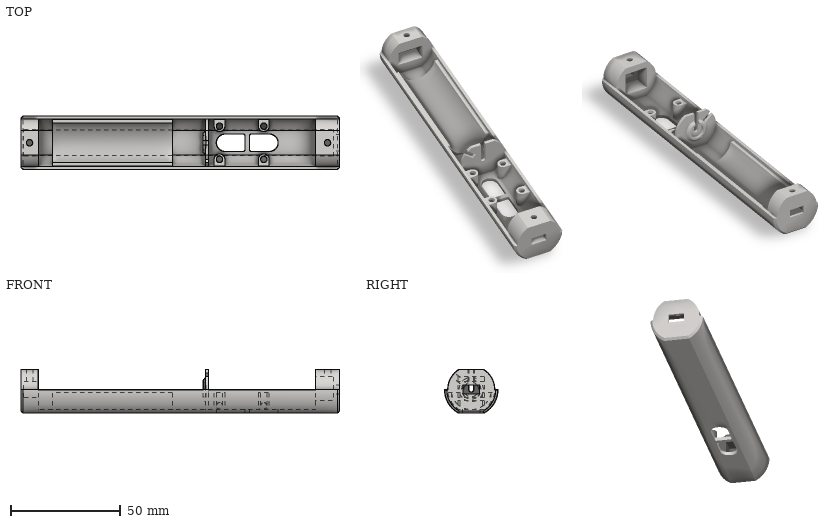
import cadquery as cq

length = 146.1
outer_radius = 12.3
wall = 1.5
inner_radius = outer_radius - wall
outer_flat = 10.8
inner_flat = 9.2
end_chamfer = 1.0

left_cap_length = 8.0
right_cap_length = 11.1
screw_diameter = 2.9
window_width = 7.5
window_height = 4.0
pocket_width = 12.0
left_pocket_height = 7.3
right_pocket_bottom = -5.0
right_pocket_top = 6.0
end_wall_left = 1.2
end_wall_right = 2.9

cradle_start = 14.6
cradle_end = 69.5
cradle_rim_depth = 1.5

partition_thickness = 1.5
partition_center = 85.3
hub_length = 1.0
hub_recess_depth = 1.3
hub_base_radius = 5.5
hub_tip_radius = 4.4
hub_recess_radius = 3.4
wire_slot_width = 2.2
side_slot_angle = 39.0

post_diameter = 5.0
post_hole_diameter = 2.9
post_x = (91.0, 111.4)
post_y = 7.6
post_top = -1.5

opening_width = 7.9
opening_length = 13.0
opening_gap = 2.2
opening_middle = 103.8
opening_corner = 0.7


def x_cylinder(radius, start, end):
    """Cylinder on the tube axis between two X positions."""
    return cq.Workplane("YZ", origin=(start, 0, 0)).circle(radius).extrude(end - start)


def box(x_range, y_range, z_range):
    """Axis-aligned box given by its limits."""
    size = [high - low for low, high in (x_range, y_range, z_range)]
    corner = (x_range[0], y_range[0], z_range[0])
    return cq.Workplane("XY").box(*size, centered=False).translate(corner)


def core(start, end):
    """Piece of the flattened round bar that fits the inside of the tube."""
    slab = box((start, end), (-inner_radius, inner_radius), (-inner_flat, inner_flat))
    return x_cylinder(inner_radius, start, end).intersect(slab)


def trough():
    """Lower half of the tube, chamfered at both ends and hollowed out."""
    keep = box((0, length), (-outer_radius, outer_radius), (-outer_flat, outer_radius))
    body = x_cylinder(outer_radius, 0, length).intersect(keep)
    body = body.faces("<X or >X").chamfer(end_chamfer)
    above = box((0, length), (-outer_radius, outer_radius), (0, outer_radius))
    return body.cut(above).cut(core(0, length))


def screw_hole(x):
    """Vertical hole from a cap top down to the tube axis."""
    plane = cq.Workplane("XY", origin=(x, 0, 0))
    return plane.circle(screw_diameter / 2).extrude(inner_flat)


def window(start, end):
    """Rectangular passage along X through a cap wall."""
    plane = cq.Workplane("YZ", origin=(start, 0, 0))
    return plane.rect(window_width, window_height).extrude(end - start)


def cap(start, end, pocket_x, pocket_z):
    """End cap with an inner pocket, a window in the end wall and a screw hole in the top."""
    pocket = box(pocket_x, (-pocket_width / 2, pocket_width / 2), pocket_z)
    body = core(start, end).cut(pocket)
    return body.cut(window(start, end)).cut(screw_hole((start + end) / 2))


def cradle():
    """Filling below the battery, with a round seat tangent to the floor."""
    fill = core(cradle_start, cradle_end)
    above = box(
        (cradle_start, cradle_end), (-inner_radius, inner_radius), (-cradle_rim_depth, inner_radius)
    )
    return fill.cut(above).cut(x_cylinder(inner_flat, cradle_start, cradle_end))


def partition():
    """Cross wall with a hub facing the battery and two slots for wires."""
    face = partition_center - partition_thickness / 2
    back = face + partition_thickness
    tip = face - hub_length
    slot = box((tip, back), (-wire_slot_width / 2, wire_slot_width / 2), (0, inner_radius))
    side_slot = slot.cut(x_cylinder(hub_base_radius, tip, back))
    side_slot = side_slot.rotate((0, 0, 0), (1, 0, 0), 90 - side_slot_angle)
    hub = (
        cq.Workplane("YZ", origin=(face, 0, 0)).circle(hub_base_radius)
        .workplane(offset=-hub_length).circle(hub_tip_radius).loft()
    )
    plate = core(face, back).union(hub)
    plate = plate.cut(x_cylinder(hub_recess_radius, tip, tip + hub_recess_depth))
    plate = plate.cut(x_cylinder(wire_slot_width / 2, tip, back))
    return plate.cut(slot).cut(side_slot)


def post(x, side):
    """Round post joined to the side wall, its hole ending at the wall."""
    center_y = side * post_y
    radius = post_diameter / 2
    height = post_top + inner_flat
    plane = cq.Workplane("XY", origin=(x, center_y, -inner_flat))
    web = plane.center(0, side * radius).rect(post_diameter, post_diameter).extrude(height)
    solid = plane.circle(radius).extrude(height).union(web)
    solid = solid.cut(plane.circle(post_hole_diameter / 2).extrude(height))
    return solid.intersect(core(x - radius, x + radius))


def floor_opening(side):
    """Opening through the floor with its outer end rounded."""
    radius = opening_width / 2
    near = opening_gap / 2
    straight_end = near + opening_length - radius
    bar = box((near, straight_end), (-radius, radius), (-outer_flat, -inner_flat))
    bar = bar.edges("|Z and <X").fillet(opening_corner)
    plane = cq.Workplane("XY", origin=(straight_end, 0, -outer_flat))
    opening = bar.union(plane.circle(radius).extrude(outer_flat - inner_flat))
    if side < 0:
        opening = opening.mirror("YZ")
    return opening.translate((opening_middle, 0, 0))


left_cap = cap(
    0, left_cap_length, (end_wall_left, left_cap_length), (-left_pocket_height / 2, left_pocket_height / 2)
)
right_cap_start = length - right_cap_length
right_cap = cap(
    right_cap_start, length, (right_cap_start, length - end_wall_right), (right_pocket_bottom, right_pocket_top)
)

result = trough().union(left_cap).union(right_cap).union(cradle()).union(partition())
for side in (-1, 1):
    result = result.cut(floor_opening(side))
    for x in post_x:
        result = result.union(post(x, side))